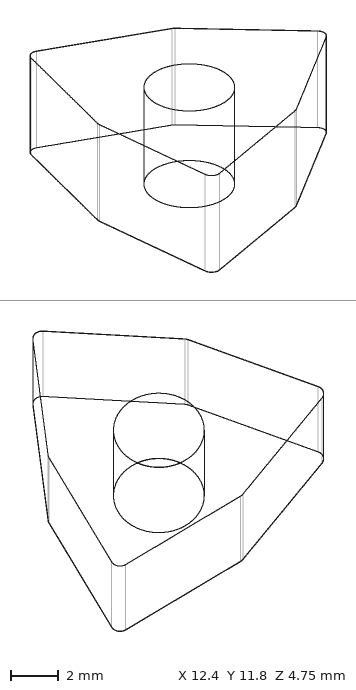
import cadquery as cq
import math

overall_width = 12.38
thickness = 4.75
hole_diameter = 3.81
edge_radius = 0.4
nose_angle = 80.0
nose_count = 3
first_nose_direction = 220.0

nose_spacing = 360.0 / nose_count
half_nose = math.radians(nose_angle / 2)
left_direction = math.radians(first_nose_direction)
right_direction = math.radians(first_nose_direction + nose_spacing)
nose_center_distance = (overall_width - 2 * edge_radius) / (
    math.cos(right_direction) - math.cos(left_direction)
)
inscribed_radius = nose_center_distance * math.sin(half_nose) + edge_radius

nose_distance = inscribed_radius / math.sin(half_nose)
side_normal_offset = math.pi / 2 - half_nose
wide_corner_offset = math.radians(nose_spacing / 2) - side_normal_offset
wide_corner_distance = inscribed_radius / math.cos(wide_corner_offset)


def polar_point(distance, direction):
    angle = math.radians(direction)
    return (distance * math.cos(angle), distance * math.sin(angle))


def trigon_corners():
    corners = []
    for index in range(nose_count):
        direction = first_nose_direction + index * nose_spacing
        corners.append(polar_point(nose_distance, direction))
        corners.append(polar_point(wide_corner_distance, direction + nose_spacing / 2))
    return corners


body = cq.Workplane("XY").polyline(trigon_corners()).close().extrude(thickness)
body = body.edges("|Z").fillet(edge_radius)

result = body.faces(">Z").workplane(origin=(0, 0, thickness)).hole(hole_diameter)